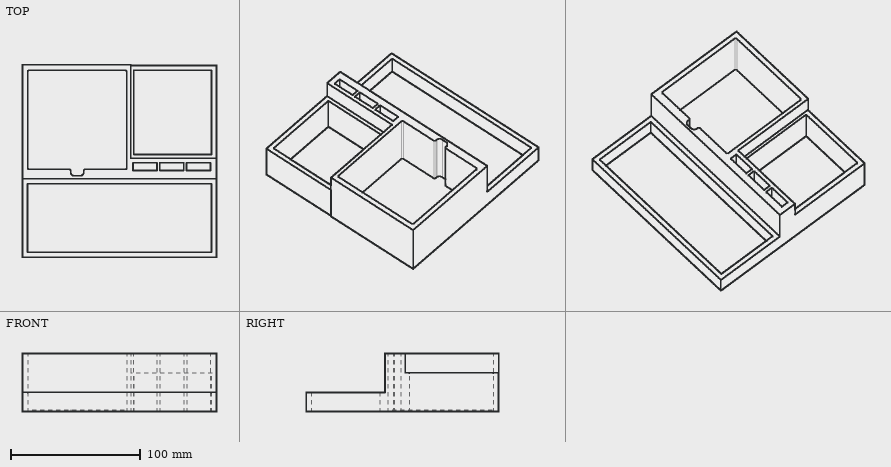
import cadquery as cq

width = 150.0
depth = 149.0
height = 45.0
wall = 4.0

tray_depth = 60.9
tray_height = 15.0
bin_height = 30.0
bin_left = 83.7
bin_front = 76.5
bin_setback = 0.5
bin_back = depth - bin_setback

pocket_size = 76.5
pocket_floor = 1.5
pocket_corner_radius = 1.0
notch_width = 10.2
notch_depth = 5.1
notch_corner_radius = 3.0
notch_mouth_radius = 1.0

bin_opening_left = 86.1
bin_opening_front = 79.6

back_wall = 4.4
opening_back = depth - back_wall

slot_count = 3
slot_width = 18.3
slot_depth = 5.8
slot_pitch = 20.7
slot_left = 85.5
slot_front = 67.2


def box_between(x_min, x_max, y_min, y_max, z_min, z_max):
    """Box with its faces at the given coordinates."""
    size = (x_max - x_min, y_max - y_min, z_max - z_min)
    return cq.Workplane("XY").box(*size, centered=False).translate((x_min, y_min, z_min))


def make_body():
    """Solid stepped body: low front tray, tall middle and lower rear right bin."""
    tray = box_between(0, width, 0, tray_depth, 0, tray_height)
    tall_row = box_between(0, width, tray_depth, bin_front, 0, height)
    tall_block = box_between(0, bin_left, tray_depth, depth, 0, height)
    bin_block = box_between(bin_left, width, bin_front, bin_back, 0, bin_height)
    return tray.union(tall_row).union(tall_block).union(bin_block).clean()


def make_pocket():
    """Square pocket volume joined to its rounded finger notch."""
    pocket_front = opening_back - pocket_size
    pocket_right = wall + pocket_size
    notch_center = wall + pocket_size / 2
    notch_left = notch_center - notch_width / 2
    notch_right = notch_center + notch_width / 2
    notch_front = pocket_front - notch_depth

    square = box_between(wall, pocket_right, pocket_front, opening_back, pocket_floor, height)
    square = square.edges("|Z").fillet(pocket_corner_radius)
    notch = box_between(notch_left, notch_right, notch_front, pocket_front + wall, pocket_floor, height)
    notch = notch.edges("|Z and <Y").fillet(notch_corner_radius)

    mouth_edges = cq.selectors.BoxSelector(
        (notch_left - notch_mouth_radius, pocket_front - notch_mouth_radius, pocket_floor),
        (notch_right + notch_mouth_radius, pocket_front + notch_mouth_radius, height),
    )
    return square.union(notch).edges("|Z").edges(mouth_edges).fillet(notch_mouth_radius)


def make_slots():
    """Row of equally spaced slots through the full height."""
    slots = cq.Workplane("XY")
    for index in range(slot_count):
        left = slot_left + index * slot_pitch
        slot = box_between(left, left + slot_width, slot_front, slot_front + slot_depth, 0, height)
        slots = slots.add(slot)
    return slots.combine()


tray_opening = box_between(wall, width - wall, wall, tray_depth - wall, 0, tray_height)
bin_opening = box_between(bin_opening_left, width - wall, bin_opening_front, opening_back, 0, bin_height)

result = make_body().cut(tray_opening).cut(bin_opening).cut(make_pocket()).cut(make_slots())